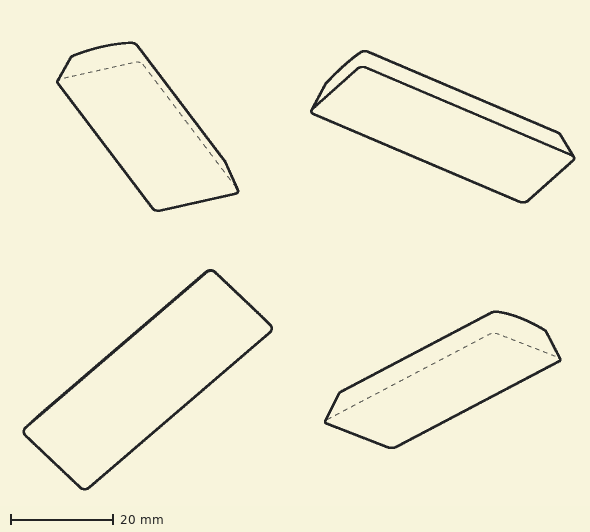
import cadquery as cq
import math

length = 51.35
width = 18.0
height = 7.2

wall_slope = 17.8
crown_radius = 25.4
corner_radius = 1.3
rim_radius = 0.65


def tapered_block():
    """Block with four equally leaning walls and rounded corner edges."""
    block = cq.Workplane("XY").rect(length, width).extrude(height, taper=wall_slope)
    upright_edges = block.edges("not(#Z)")
    return upright_edges.fillet(corner_radius)


def crown_envelope():
    """Solid bounded above by the arched top, as wide and long as the base."""
    half_width = width / 2
    crown_drop = crown_radius - math.sqrt(crown_radius**2 - half_width**2)
    side_height = height - crown_drop
    return (
        cq.Workplane("YZ")
        .moveTo(-half_width, 0)
        .lineTo(half_width, 0)
        .lineTo(half_width, side_height)
        .threePointArc((0, height), (-half_width, side_height))
        .close()
        .extrude(length / 2, both=True)
    )


def round_rim(body):
    """Round the whole edge loop around the arched top."""
    return body.faces(">Z").edges().fillet(rim_radius)


body = tapered_block().intersect(crown_envelope())
result = round_rim(body)